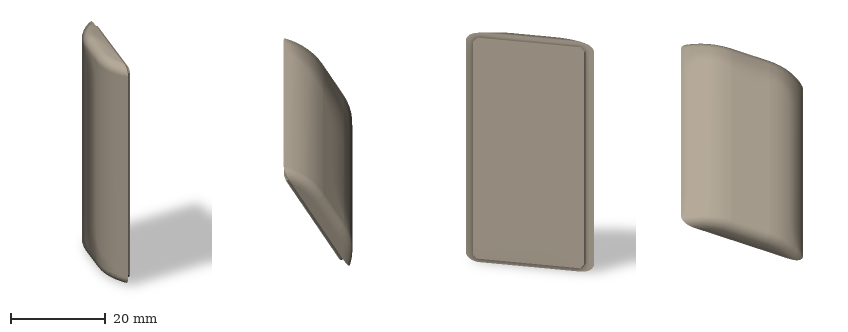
import cadquery as cq
import math

width = 28.9
height = 50.0
dome_depth = 4.0
flat_width = 9.0
end_radius = 2.0

lip_width = 25.0
lip_height = 48.0
lip_depth = 1.0
lip_corner = 0.8

half_width = width / 2
half_flat = flat_width / 2
side_run = half_width - half_flat
side_radius = (side_run**2 + dome_depth**2) / (2 * dome_depth)
half_sweep = math.asin(side_run / side_radius) / 2
mid_x = half_flat + side_radius * math.sin(half_sweep)
mid_y = -dome_depth + side_radius * (1 - math.cos(half_sweep))


def make_body():
    """Domed bar along Z with its back face on Y = 0 and rounded ends."""
    body = (
        cq.Workplane("XY")
        .moveTo(-half_width, 0)
        .threePointArc((-mid_x, mid_y), (-half_flat, -dome_depth))
        .lineTo(half_flat, -dome_depth)
        .threePointArc((mid_x, mid_y), (half_width, 0))
        .close()
        .extrude(height / 2, both=True)
    )
    back_edges = cq.selectors.BoxSelector(
        (-width, -0.05, -height), (width, 0.05, height), boundingbox=True
    )
    end_edges = cq.selectors.StringSyntaxSelector(">Z or <Z")
    return body.edges(end_edges - back_edges).fillet(end_radius)


def make_lip():
    """Shallow plate behind the body with cut corners."""
    return (
        cq.Workplane("XY")
        .box(lip_width, lip_depth, lip_height)
        .edges("|Y")
        .chamfer(lip_corner)
        .translate((0, lip_depth / 2, 0))
    )


result = make_body().union(make_lip())